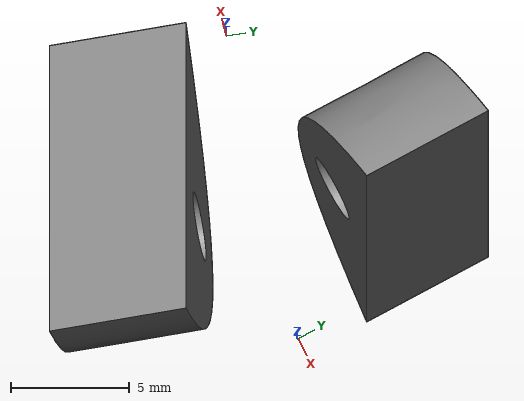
import cadquery as cq

height = 25.0
depth = 5.98
width = 5.85
hole_diameter = 2.92

flat_x = depth / 2
tangent_apex_x = flat_x - 2 * depth

body = (
    cq.Workplane("XZ", origin=(0, width / 2, 0))
    .bezier([(flat_x, -height / 2), (tangent_apex_x, 0), (flat_x, height / 2)])
    .close()
    .extrude(width)
)

hole = cq.Workplane("XZ").circle(hole_diameter / 2).extrude(width, both=True)

result = body.cut(hole)